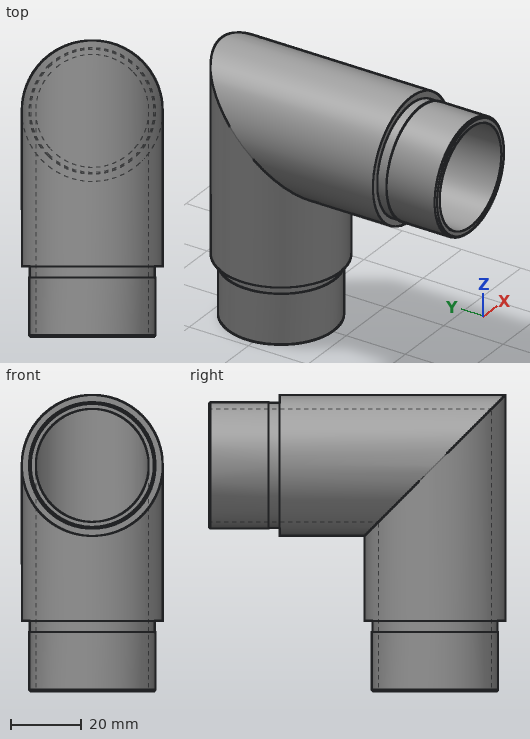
import cadquery as cq

overall_length = 84.0
body_diameter = 40.0
spigot_diameter = 35.9
groove_diameter = 35.5
bore_diameter = 32.0
spigot_length = 20.0
groove_width = 3.2
end_chamfer = 0.5

body_radius = body_diameter / 2
reach = overall_length - body_radius
shoulder = reach - spigot_length


def rod_down(diameter, top, bottom):
    """Solid cylinder on the Z axis between two depths measured below the origin."""
    return cq.Workplane("XY").workplane(offset=-bottom).circle(diameter / 2).extrude(bottom - top)


def vertical_leg():
    """Hollow leg along -Z, running past the corner so that the miter can trim it."""
    body = rod_down(body_diameter, -body_radius, shoulder)
    groove = rod_down(groove_diameter, shoulder, shoulder + groove_width)
    spigot = rod_down(spigot_diameter, shoulder + groove_width, reach)
    spigot = spigot.faces("<Z").chamfer(end_chamfer)
    bore = rod_down(bore_diameter, -body_radius, reach)
    return body.union(groove).union(spigot).cut(bore)


def miter_wedge():
    """Wedge holding the part on the -Z side of the miter plane Y = Z."""
    return (
        cq.Workplane("YZ")
        .polyline([(-reach, -reach), (reach, reach), (reach, -reach)])
        .close()
        .extrude(body_radius, both=True)
    )


lower_half = vertical_leg().intersect(miter_wedge())
front_half = lower_half.mirror("XY").rotate((0, 0, 0), (1, 0, 0), 90)

result = lower_half.union(front_half)